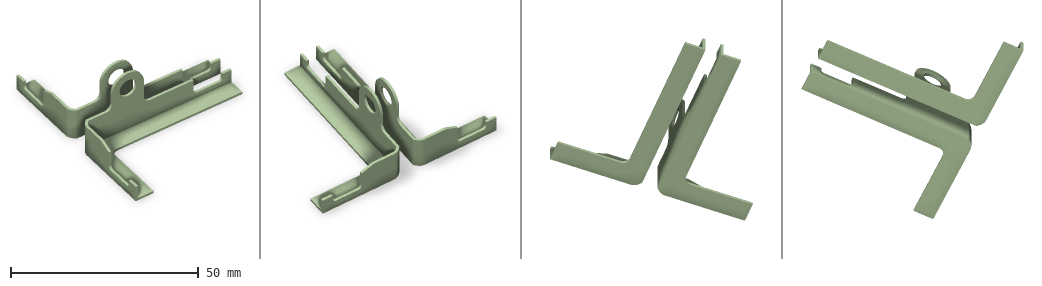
import cadquery as cq
import math

span = 55.55
length = 48.3
height = 20.15
gap = 4.4
sheet = 0.8

strip_width = 5.8
inner_fillet = 2.0

wall_height = 9.8
post_height = 5.0
notch_floor = 2.55
notch_width = 9.3
notch_fillet = 1.0
post_width_foot = 3.2
post_width_side = 3.05
foot_slope_run = 3.8
foot_slope_drop = 1.5
ledge_height = 7.35

lug_radius = 5.15
lug_hole_diameter = 5.45
lug_from_back = 33.55
lug_fillet = 2.0

bend_radius = 2.0
flat_run = 0.55
sin45 = math.sin(math.pi / 4)
sin22 = math.sin(math.pi / 8)
cos22 = math.cos(math.pi / 8)

outer_x = gap / 2
inner_x = outer_x + sheet
end_x = span / 2
bend_x = inner_x + flat_run + bend_radius * sin45
bend_center_y = sheet + bend_radius
fold_y = bend_center_y - bend_radius * sin45 + flat_run


def bend_point(radius, along, down):
    """Point on the large bend, in the direction (-along, -down) from its centre."""
    return (bend_x - radius * along, bend_center_y - radius * down)


def fold_point(along, down):
    """Point on the outside of the tight fold, centred on its sharp inner edge."""
    return (inner_x - sheet * along, fold_y - sheet * down)


def outer_corner(sketch):
    """Continue a plan outline from the side wall to the foot wall along the outer faces."""
    outer_radius = bend_radius + sheet
    return (
        sketch.threePointArc(fold_point(cos22, sin22), fold_point(sin45, sin45))
        .lineTo(*bend_point(outer_radius, sin45, sin45))
        .threePointArc(bend_point(outer_radius, sin22, cos22), (bend_x, 0))
    )


def make_base():
    """Flat L-shaped strip under both walls."""
    inside_x = outer_x + strip_width
    outline = cq.Workplane("XY").moveTo(outer_x, length).lineTo(outer_x, fold_y)
    outline = (
        outer_corner(outline)
        .lineTo(end_x, 0)
        .lineTo(end_x, strip_width)
        .lineTo(inside_x + inner_fillet, strip_width)
        .radiusArc((inside_x, strip_width + inner_fillet), inner_fillet)
        .lineTo(inside_x, length)
        .close()
    )
    return outline.extrude(sheet)


def make_corner():
    """Bent wall joining the side wall to the foot wall."""
    outline = outer_corner(cq.Workplane("XY").moveTo(outer_x, fold_y))
    outline = (
        outline.lineTo(bend_x, sheet)
        .threePointArc(bend_point(bend_radius, sin22, cos22), bend_point(bend_radius, sin45, sin45))
        .lineTo(inner_x, fold_y)
        .close()
    )
    return outline.extrude(wall_height)


def make_notch(plane, start, wall_top):
    """Cutter for an open-topped notch with rounded floor corners, starting at the given place."""
    tall = wall_top - notch_floor
    cutter = (
        cq.Workplane(plane)
        .center(start + notch_width / 2, notch_floor + tall / 2)
        .rect(notch_width, tall)
        .extrude(2 * sheet, both=True)
    )
    floor_edges = cutter.faces("<Z").edges("|Y" if plane == "XZ" else "|X")
    return floor_edges.fillet(notch_fillet)


def make_foot_wall():
    """Front wall with a sloped shoulder, a notch and an end post."""
    post_x = end_x - post_width_foot
    shoulder_x = post_x - notch_width
    wall = (
        cq.Workplane("XZ")
        .moveTo(bend_x, 0)
        .lineTo(end_x, 0)
        .lineTo(end_x, post_height)
        .lineTo(shoulder_x, post_height)
        .lineTo(shoulder_x, wall_height - foot_slope_drop)
        .lineTo(shoulder_x - foot_slope_run, wall_height)
        .lineTo(bend_x, wall_height)
        .close()
        .extrude(-sheet)
    )
    return wall.cut(make_notch("XZ", shoulder_x, wall_height))


def make_side_wall():
    """Long wall with a rounded, drilled lug, a lower ledge, a notch and an end post."""
    lug_y = length - lug_from_back
    lug_z = height - lug_radius
    lug_front = lug_y - lug_radius
    lug_back = lug_y + lug_radius
    post_y = length - post_width_side
    ledge_end = post_y - notch_width
    wall = (
        cq.Workplane("YZ", origin=(outer_x, 0, 0))
        .moveTo(fold_y, 0)
        .lineTo(fold_y, wall_height)
        .lineTo(lug_front - lug_fillet, wall_height)
        .radiusArc((lug_front, wall_height + lug_fillet), -lug_fillet)
        .lineTo(lug_front, lug_z)
        .threePointArc((lug_y, height), (lug_back, lug_z))
        .lineTo(lug_back, ledge_height + lug_fillet)
        .radiusArc((lug_back + lug_fillet, ledge_height), -lug_fillet)
        .lineTo(ledge_end, ledge_height)
        .lineTo(ledge_end, post_height)
        .lineTo(length, post_height)
        .lineTo(length, 0)
        .close()
        .extrude(sheet)
    )
    hole = (
        cq.Workplane("YZ", origin=(outer_x, 0, 0))
        .center(lug_y, lug_z)
        .circle(lug_hole_diameter / 2)
        .extrude(sheet)
    )
    notch = make_notch("YZ", ledge_end, ledge_height).translate((outer_x, 0, 0))
    return wall.cut(hole).cut(notch)


def make_bracket():
    """Complete bracket on the +X side, as one solid."""
    return make_base().union(make_corner()).union(make_foot_wall()).union(make_side_wall())


right_bracket = make_bracket()
left_bracket = right_bracket.mirror("YZ")

result = cq.Compound.makeCompound([*right_bracket.solids().vals(), *left_bracket.solids().vals()])